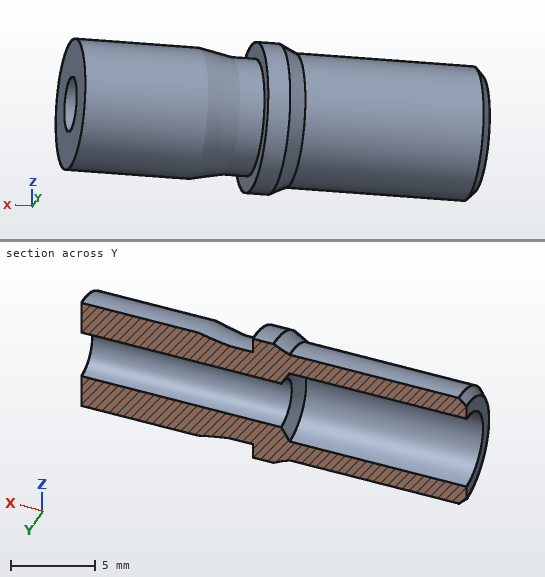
import cadquery as cq
import math

LENGTH = 24.7
FRONT_CHAMFER = 0.5
FLANGE_CONE_START = 11.34
FLANGE_START = 12.37
FLANGE_END = 13.7
NECK_END = 15.2
REAR_START = 17.22

FRONT_DIAMETER = 8.0
FLANGE_DIAMETER = 9.0
NECK_DIAMETER = 7.0
REAR_DIAMETER = 7.8

BORE_DIAMETER = 5.1
BORE_DEPTH = FLANGE_CONE_START
DRILL_POINT_ANGLE = 118.0
THROUGH_DIAMETER = 3.25


def outer_body():
    """Revolve the stepped outer outline about the X axis."""
    front_radius = FRONT_DIAMETER / 2
    flange_radius = FLANGE_DIAMETER / 2
    neck_radius = NECK_DIAMETER / 2
    rear_radius = REAR_DIAMETER / 2
    outline = [
        (0, 0),
        (0, front_radius - FRONT_CHAMFER),
        (FRONT_CHAMFER, front_radius),
        (FLANGE_CONE_START, front_radius),
        (FLANGE_START, flange_radius),
        (FLANGE_END, flange_radius),
        (FLANGE_END, neck_radius),
        (NECK_END, neck_radius),
        (REAR_START, rear_radius),
        (LENGTH, rear_radius),
        (LENGTH, 0),
    ]
    return revolve_about_x(outline)


def stepped_bore():
    """Wide bore narrowing through a cone into the through hole."""
    bore_radius = BORE_DIAMETER / 2
    through_radius = THROUGH_DIAMETER / 2
    half_angle = math.radians(DRILL_POINT_ANGLE / 2)
    cone_length = (bore_radius - through_radius) / math.tan(half_angle)
    outline = [
        (0, 0),
        (0, bore_radius),
        (BORE_DEPTH, bore_radius),
        (BORE_DEPTH + cone_length, through_radius),
        (LENGTH, through_radius),
        (LENGTH, 0),
    ]
    return revolve_about_x(outline)


def revolve_about_x(outline):
    """Turn a closed (x, radius) outline into a solid of revolution."""
    profile = cq.Workplane("XY").polyline(outline).close()
    return profile.revolve(360, (0, 0, 0), (1, 0, 0))


result = outer_body().cut(stepped_bore())